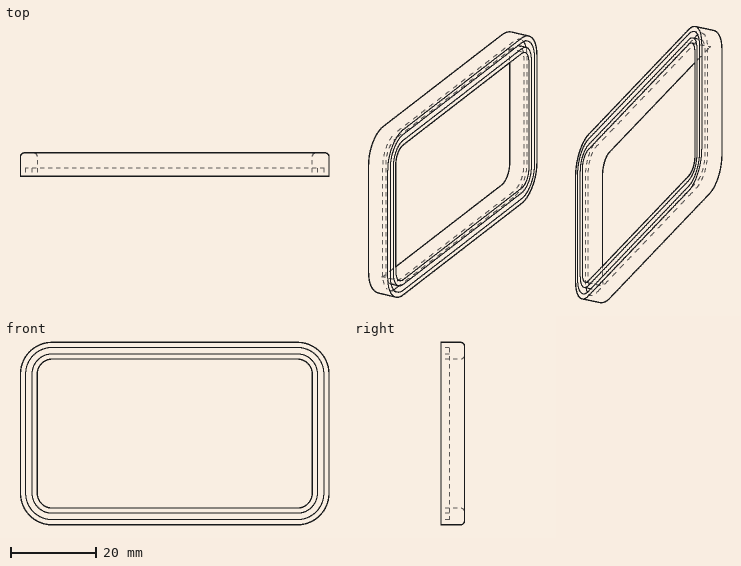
import cadquery as cq

length = 72.6
height = 43.0
depth = 5.6
bar_width = 4.0
corner_radius = 7.5

groove_width = 1.5
groove_depth = 2.0

back_fillet = 1.0

front = -depth / 2


def rounded_block(inset, thickness):
    """Block from the front face backwards, its outline moved inward from the outer one."""
    return (
        cq.Workplane("XZ", origin=(0, front, 0))
        .rect(length - 2 * inset, height - 2 * inset)
        .extrude(-thickness)
        .edges("|Y")
        .fillet(corner_radius - inset)
    )


def ring(outer_inset, inner_inset, thickness):
    """Closed band between two insets from the outer outline."""
    return rounded_block(outer_inset, thickness).cut(rounded_block(inner_inset, thickness))


frame = ring(0, bar_width, depth).faces(">Y").edges().fillet(back_fillet)

land_width = (bar_width - groove_width) / 2
groove = ring(land_width, land_width + groove_width, groove_depth)

result = frame.cut(groove)